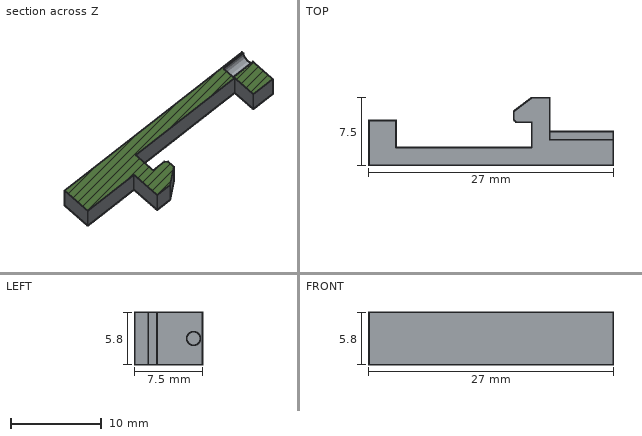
import cadquery as cq

length = 27.0
depth = 7.5
height = 5.8

bar_thickness = 2.0
block_length = 3.0
block_depth = 5.0

post_start = 17.98
post_width = 2.0
post_end = post_start + post_width
nose_length = 2.0
nose_tip = post_start - nose_length
nose_underside = 4.75
nose_ramp_start = 6.0
nose_chamfer = 0.3

tail_depth = 3.78
tail_bevel_depth = 0.95
tail_bevel_height = tail_bevel_depth

hole_diameter = 1.5
hole_from_front = bar_thickness / 2
hole_depth = block_length


def make_clip():
    """Bar, end block and hook as one constant-height profile."""
    return (
        cq.Workplane("XY")
        .moveTo(0, 0)
        .lineTo(post_end, 0)
        .lineTo(post_end, depth)
        .lineTo(post_start, depth)
        .lineTo(nose_tip, nose_ramp_start)
        .lineTo(nose_tip, nose_underside + nose_chamfer)
        .lineTo(nose_tip + nose_chamfer, nose_underside)
        .lineTo(post_start, nose_underside)
        .lineTo(post_start, bar_thickness)
        .lineTo(block_length, bar_thickness)
        .lineTo(block_length, block_depth)
        .lineTo(0, block_depth)
        .close()
        .extrude(height)
    )


def make_tail():
    """Tail beyond the post, bevelled along its top back edge."""
    return (
        cq.Workplane("YZ", origin=(post_end, 0, 0))
        .moveTo(0, 0)
        .lineTo(tail_depth, 0)
        .lineTo(tail_depth, height - tail_bevel_height)
        .lineTo(tail_depth - tail_bevel_depth, height)
        .lineTo(0, height)
        .close()
        .extrude(length - post_end)
    )


def make_hole():
    """Round cutter running along X from the end face of the block."""
    return (
        cq.Workplane("YZ")
        .center(hole_from_front, height / 2)
        .circle(hole_diameter / 2)
        .extrude(hole_depth)
    )


result = make_clip().union(make_tail()).cut(make_hole())